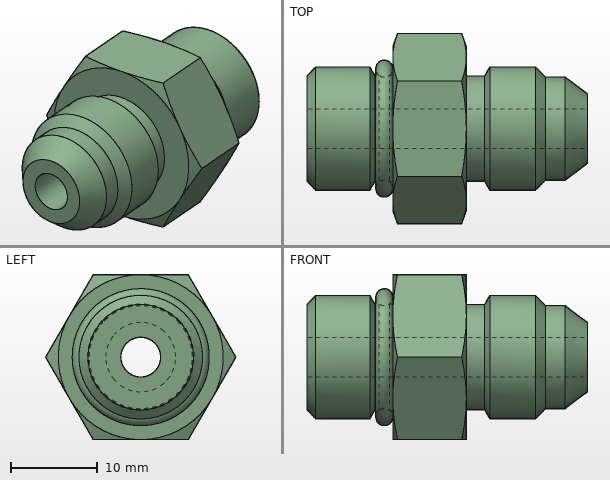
import cadquery as cq
import math

total_length = 32.38
bore_radius = 4.55 / 2
thread_radius = 14.28 / 2

groove_radius = 12.3 / 2
port_end_radius = 12.17 / 2
port_chamfer_length = 1.0
port_thread_end = 7.25
relief_angle = math.radians(30)

ring_section_radius = 1.98 / 2
ring_inner_radius = 11.88 / 2
ring_centre_radius = ring_inner_radius + ring_section_radius

hex_start = 9.9
hex_end = 18.4
hex_across_flats = 19.05
hex_across_corners = hex_across_flats / math.cos(math.radians(30))
hex_chamfer_angle = math.radians(20)
corner_clearance = 0.32

neck_radius = 12.17 / 2
neck_end = 20.5
collar_end = 26.35
nose_radius = 11.95 / 2
nose_end = 29.8
cone_angle = math.radians(37)

groove_start = port_thread_end + (thread_radius - groove_radius) * math.tan(relief_angle)
ring_x = hex_start - ring_section_radius
collar_start = neck_end + (thread_radius - neck_radius) * math.tan(relief_angle)
nose_start = collar_end + thread_radius - nose_radius
tip_radius = nose_radius - (total_length - nose_end) * math.tan(cone_angle)


def turned_body():
    """Everything of the fitting that is round, revolved about X, without the bore."""
    seat_half_width = math.sqrt(ring_section_radius**2 - (ring_centre_radius - groove_radius) ** 2)
    profile = (
        cq.Workplane("XY")
        .moveTo(0, 0)
        .lineTo(0, port_end_radius)
        .lineTo(port_chamfer_length, thread_radius)
        .lineTo(port_thread_end, thread_radius)
        .lineTo(groove_start, groove_radius)
        .lineTo(ring_x - seat_half_width, groove_radius)
        .threePointArc((ring_x, ring_inner_radius), (ring_x + seat_half_width, groove_radius))
        .lineTo(hex_start, groove_radius)
        .lineTo(hex_start, neck_radius)
        .lineTo(neck_end, neck_radius)
        .lineTo(collar_start, thread_radius)
        .lineTo(collar_end, thread_radius)
        .lineTo(nose_start, nose_radius)
        .lineTo(nose_end, nose_radius)
        .lineTo(total_length, tip_radius)
        .lineTo(total_length, 0)
        .close()
    )
    return profile.revolve(360, (0, 0, 0), (1, 0, 0))


def chamfered_hexagon():
    """Hexagonal prism whose corners are turned off conically at both ends."""
    prism = (
        cq.Workplane("YZ")
        .workplane(offset=hex_start)
        .polygon(6, hex_across_corners)
        .extrude(hex_end - hex_start)
    )
    face_radius = hex_across_flats / 2
    envelope_radius = hex_across_corners / 2 + corner_clearance
    chamfer_run = (envelope_radius - face_radius) * math.tan(hex_chamfer_angle)
    envelope = (
        cq.Workplane("XY")
        .moveTo(hex_start, 0)
        .lineTo(hex_start, face_radius)
        .lineTo(hex_start + chamfer_run, envelope_radius)
        .lineTo(hex_end - chamfer_run, envelope_radius)
        .lineTo(hex_end, face_radius)
        .lineTo(hex_end, 0)
        .close()
        .revolve(360, (0, 0, 0), (1, 0, 0))
    )
    return prism.intersect(envelope)


def make_fitting():
    """Turned body joined to its hexagon, with the bore running right through."""
    bore = cq.Workplane("YZ").circle(bore_radius).extrude(total_length)
    return turned_body().union(chamfered_hexagon()).cut(bore).solids()


def make_o_ring():
    """Torus around the groove of the port end."""
    return (
        cq.Workplane("XY")
        .center(ring_x, ring_centre_radius)
        .circle(ring_section_radius)
        .revolve(360, (0, -ring_centre_radius, 0), (1, -ring_centre_radius, 0))
    )


fitting = make_fitting()
o_ring = make_o_ring()

result = cq.Compound.makeCompound([fitting.val(), o_ring.val()])